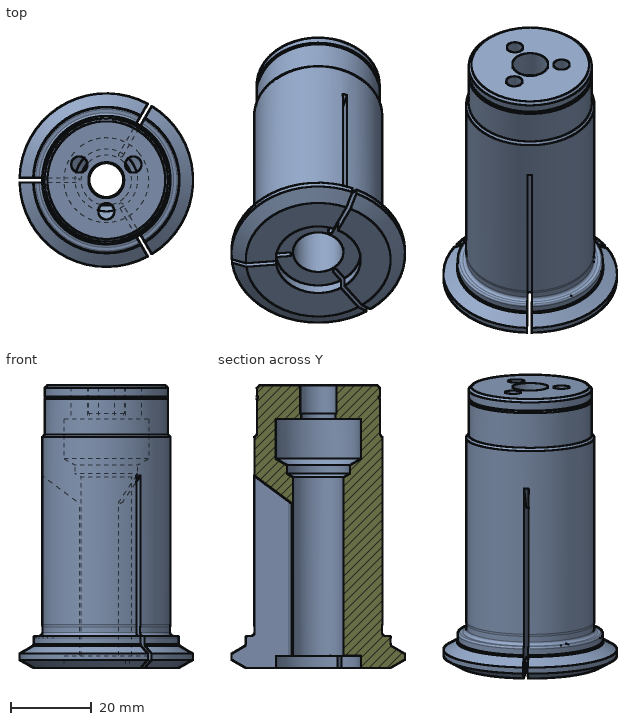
import cadquery as cq
import math

length = 70
flange_radius = 21.5

rim_bottom_z = 2.0
rim_top_z = 3.6
flange_bottom_radius = 17.9
flange_cone_top_z = 5.5
flange_cone_top_radius = 18.1

collar_radius = 18.0
collar_bottom_z = 5.95
collar_top_z = 8.0
collar_fillet = 0.5

neck_radius = 15.8
neck_top_z = 10.2
neck_fillet = 0.85

shank_bottom_z = 10.8
shank_top_z = 57.1
shank_radius = 15.9

nose_radius = 15.25
nose_bottom_z = 57.8
groove_bottom_z = 66.6
groove_floor_z = 67.05
groove_top_z = 67.2
groove_radius = 15.0
nose_chamfer = 0.7

entry_radius = 8.9 / 2
entry_depth = 7
throat_radius = 4.2
chamber_radius = 21 / 2
chamber_top_z = 61.6
chamber_bottom_z = 51.8
cone_angle = 30
step_radius = 15.5 / 2
step_length = 2.1
bore_radius = 6.2
counterbore_radius = 21 / 2
counterbore_depth = 3.0

hole_diameter = 4.0
hole_circle_radius = 15.5 / 2
hole_angles = (30, 150, 270)

slit_width = 1.1
slit_end_radius = 6.65
slit_top_z = 47.6
slit_inner_top_z = 40.75
slit_angles = (60, 180, 300)


def make_body():
    """Revolve the outer outline about the Z axis."""
    arc_offset = 1 - math.sqrt(0.5)
    collar_arc_start = (collar_radius, collar_top_z - collar_fillet)
    collar_arc_middle = (
        collar_radius - collar_fillet * arc_offset,
        collar_top_z - collar_fillet * arc_offset,
    )
    collar_arc_end = (collar_radius - collar_fillet, collar_top_z)
    neck_arc_start = (neck_radius + neck_fillet, collar_top_z)
    neck_arc_middle = (
        neck_radius + neck_fillet * arc_offset,
        collar_top_z + neck_fillet * arc_offset,
    )
    neck_arc_end = (neck_radius, collar_top_z + neck_fillet)
    outline = (
        cq.Workplane("XZ")
        .lineTo(flange_bottom_radius, 0)
        .lineTo(flange_radius, rim_bottom_z)
        .lineTo(flange_radius, rim_top_z)
        .lineTo(flange_cone_top_radius, flange_cone_top_z)
        .lineTo(collar_radius, collar_bottom_z)
        .lineTo(*collar_arc_start)
        .threePointArc(collar_arc_middle, collar_arc_end)
        .lineTo(*neck_arc_start)
        .threePointArc(neck_arc_middle, neck_arc_end)
        .lineTo(neck_radius, neck_top_z)
        .lineTo(shank_radius, shank_bottom_z)
        .lineTo(shank_radius, shank_top_z)
        .lineTo(nose_radius, nose_bottom_z)
        .lineTo(nose_radius, groove_bottom_z)
        .lineTo(groove_radius, groove_floor_z)
        .lineTo(nose_radius, groove_top_z)
        .lineTo(nose_radius, length - nose_chamfer)
        .lineTo(nose_radius - nose_chamfer, length)
        .lineTo(0, length)
        .close()
    )
    return outline.revolve(360, (0, 0, 0), (0, 1, 0))


def make_bore():
    """Stepped bore: entry, throat, wide chamber, two conical steps, bore and counterbore."""
    cone_slope = math.tan(math.radians(cone_angle))
    step_top_z = chamber_bottom_z - (chamber_radius - step_radius) * cone_slope
    step_bottom_z = step_top_z - step_length
    bore_top_z = step_bottom_z - (step_radius - bore_radius) * cone_slope
    outline = (
        cq.Workplane("XZ")
        .lineTo(counterbore_radius, 0)
        .lineTo(counterbore_radius, counterbore_depth)
        .lineTo(bore_radius, counterbore_depth)
        .lineTo(bore_radius, bore_top_z)
        .lineTo(step_radius, step_bottom_z)
        .lineTo(step_radius, step_top_z)
        .lineTo(chamber_radius, chamber_bottom_z)
        .lineTo(chamber_radius, chamber_top_z)
        .lineTo(throat_radius, chamber_top_z)
        .lineTo(throat_radius, length - entry_depth)
        .lineTo(entry_radius, length - entry_depth)
        .lineTo(entry_radius, length)
        .lineTo(0, length)
        .close()
    )
    return outline.revolve(360, (0, 0, 0), (0, 1, 0))


def make_end_hole(angle):
    """Vertical hole from the top face into the chamber."""
    x = hole_circle_radius * math.cos(math.radians(angle))
    y = hole_circle_radius * math.sin(math.radians(angle))
    return (
        cq.Workplane("XY", origin=(x, y, chamber_top_z))
        .circle(hole_diameter / 2)
        .extrude(length - chamber_top_z)
    )


def make_slit(angle):
    """Slit open to the outside and the bottom, with its roof falling towards the axis."""
    half_width = slit_width / 2
    outer_reach = flange_radius + slit_width
    plan = (
        cq.Workplane("XY")
        .moveTo(outer_reach, half_width)
        .lineTo(slit_end_radius + half_width, half_width)
        .threePointArc((slit_end_radius, 0), (slit_end_radius + half_width, -half_width))
        .lineTo(outer_reach, -half_width)
        .close()
        .extrude(slit_top_z)
    )
    side = (
        cq.Workplane("XZ")
        .moveTo(slit_end_radius, 0)
        .lineTo(slit_end_radius, slit_inner_top_z)
        .lineTo(shank_radius, slit_top_z)
        .lineTo(flange_radius, slit_top_z)
        .lineTo(flange_radius, 0)
        .close()
        .extrude(half_width, both=True)
    )
    return plan.intersect(side).rotate((0, 0, 0), (0, 0, 1), angle)


result = make_body().cut(make_bore())
for hole_angle in hole_angles:
    result = result.cut(make_end_hole(hole_angle))
for slit_angle in slit_angles:
    result = result.cut(make_slit(slit_angle))